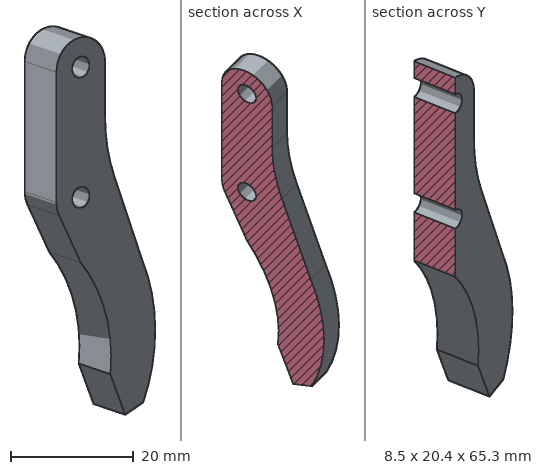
import cadquery as cq
import math

length = 65.3
thickness = 8.5
overall_width = 20.4
head_radius = 5.0
hole_diameter = 3.5
hole_spacing = 22.0

bottom_z = head_radius - length
back_y = overall_width - head_radius

front_lean = math.radians(27)
front_edge_end = (0, -33.05)

back_lean = math.radians(20.8)
bend_radius = 29.4
belly_start = (12.7, -34.75)
belly_mid = (back_y, -46.7)

hollow_mid = (4.7, -41.2)
heel = (6.1, -52.9)
tip_front = (9.15, bottom_z)
tip_back = (12.85, -58.8)


def point_on_circle(center, radius, angle):
    """Point at an angle measured from +Y towards +Z."""
    return (center[0] + radius * math.cos(angle), center[1] + radius * math.sin(angle))


lower_hole = (0, -hole_spacing)
corner_start = point_on_circle(lower_hole, head_radius, math.pi)
corner_mid = point_on_circle(lower_hole, head_radius, math.pi + front_lean / 2)
corner_end = point_on_circle(lower_hole, head_radius, math.pi + front_lean)

neck_end_z = (
    belly_start[1]
    + (belly_start[0] - head_radius) / math.tan(back_lean)
    + bend_radius * math.tan(back_lean / 2)
)
bend_center = (head_radius + bend_radius, neck_end_z)
bend_start = point_on_circle(bend_center, bend_radius, math.pi)
bend_mid = point_on_circle(bend_center, bend_radius, math.pi + back_lean / 2)
bend_end = point_on_circle(bend_center, bend_radius, math.pi + back_lean)

profile = (
    cq.Workplane("YZ", origin=(-thickness / 2, 0, 0))
    .moveTo(-head_radius, 0)
    .threePointArc((0, head_radius), (head_radius, 0))
    .lineTo(*bend_start)
    .threePointArc(bend_mid, bend_end)
    .lineTo(*belly_start)
    .threePointArc(belly_mid, tip_back)
    .lineTo(*tip_front)
    .lineTo(*heel)
    .threePointArc(hollow_mid, front_edge_end)
    .lineTo(*corner_end)
    .threePointArc(corner_mid, corner_start)
    .close()
)
lever = profile.extrude(thickness)

holes = (
    cq.Workplane("YZ", origin=(-thickness / 2, 0, 0))
    .pushPoints([(0, 0), lower_hole])
    .circle(hole_diameter / 2)
    .extrude(thickness)
)

result = lever.cut(holes)